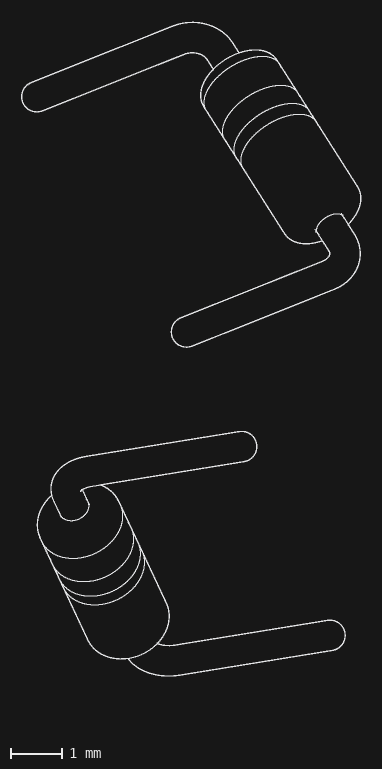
import cadquery as cq
import math


wire_radius = 0.3
lead_spacing = 6.5
bend_radius = 0.6
leg_reach = 4.0

body_radius = 0.85
body_length = 3.9
edge_radius = 0.2
neck_radius = 0.2

first_band_offset = 0.3
first_band_width = 0.8
spacer_width = 0.5
second_band_width = 0.3

lead_x = lead_spacing / 2
bend_start_x = lead_x - bend_radius
leg_end_y = -(leg_reach - wire_radius)
body_end_x = body_length / 2
neck_end_x = body_end_x + neck_radius
first_band_x = -body_end_x + first_band_offset
spacer_x = first_band_x + first_band_width
second_band_x = spacer_x + spacer_width
main_body_x = second_band_x + second_band_width

DIAGONAL = math.sqrt(0.5)


def make_wire():
    """Round wire through the body, bent at both ends, with hemispherical tips."""
    bend_mid_x = bend_start_x + bend_radius * DIAGONAL
    bend_mid_y = -bend_radius * (1 - DIAGONAL)
    path = (
        cq.Workplane("XY")
        .moveTo(-lead_x, leg_end_y)
        .lineTo(-lead_x, -bend_radius)
        .threePointArc((-bend_mid_x, bend_mid_y), (-bend_start_x, 0))
        .lineTo(bend_start_x, 0)
        .threePointArc((bend_mid_x, bend_mid_y), (lead_x, -bend_radius))
        .lineTo(lead_x, leg_end_y)
    )
    bent_wire = (
        cq.Workplane("XZ", origin=(-lead_x, leg_end_y, 0))
        .circle(wire_radius)
        .sweep(path)
    )
    for side in (-1, 1):
        tip = cq.Workplane("XY").sphere(wire_radius).translate((side * lead_x, leg_end_y, 0))
        bent_wire = bent_wire.union(tip)
    return bent_wire


def make_ring(start_x, width):
    """Plain section of the body with a clear hole for the wire."""
    return (
        cq.Workplane("YZ", origin=(start_x, 0, 0))
        .circle(body_radius)
        .circle(wire_radius)
        .extrude(width)
    )


def make_end_section(inner_x, side):
    """Section reaching from inner_x to one end of the body (side is -1 or 1)."""
    end_x = side * body_end_x
    edge_start_x = side * (body_end_x - edge_radius)
    edge_centre_r = body_radius - edge_radius
    neck_centre_x = side * neck_end_x
    neck_centre_r = wire_radius + neck_radius
    edge_mid = (edge_start_x + side * edge_radius * DIAGONAL, edge_centre_r + edge_radius * DIAGONAL)
    neck_mid = (neck_centre_x - side * neck_radius * DIAGONAL, neck_centre_r - neck_radius * DIAGONAL)
    return (
        cq.Workplane("XY")
        .moveTo(inner_x, wire_radius)
        .lineTo(inner_x, body_radius)
        .lineTo(edge_start_x, body_radius)
        .threePointArc(edge_mid, (end_x, edge_centre_r))
        .lineTo(end_x, neck_centre_r)
        .threePointArc(neck_mid, (neck_centre_x, wire_radius))
        .close()
        .revolve(360, (0, 0, 0), (1, 0, 0))
    )


wire = make_wire()
end_cap = make_end_section(first_band_x, -1)
first_band = make_ring(first_band_x, first_band_width)
spacer = make_ring(spacer_x, spacer_width)
second_band = make_ring(second_band_x, second_band_width)
main_body = make_end_section(main_body_x, 1)

bodies = [wire, end_cap, first_band, spacer, second_band, main_body]
result = cq.Compound.makeCompound([body.solids().val() for body in bodies])